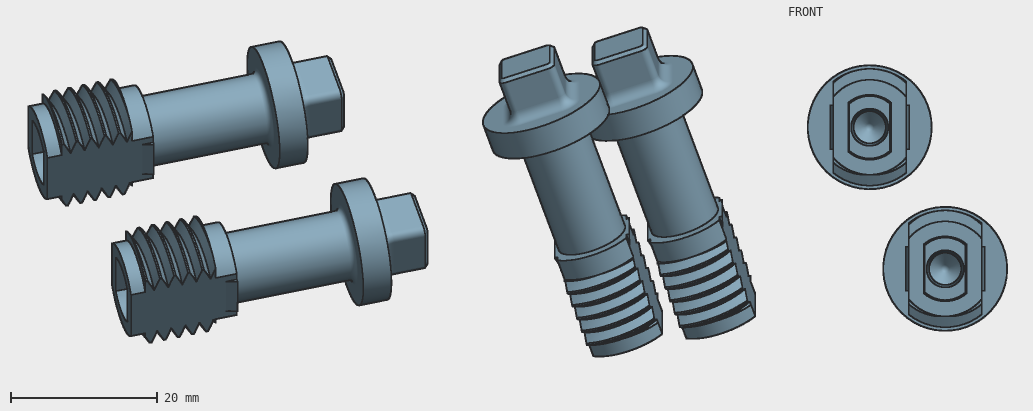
import cadquery as cq
import math


drive_width = 8.0
drive_length = 6.5
drive_corner_radius = 1.0
drive_end_chamfer = 0.5
drive_foot_radius = 1.5

flange_diameter = 17.0
flange_thickness = 4.0
shaft_diameter = 9.7
shaft_length = 17.0
shaft_fillet_radius = 0.75

block_length = 15.0
block_diameter = 13.0
block_flat_width = 10.0
thread_diameter = 16.0
thread_length = 10.0
thread_pitch = 2.0
thread_half_angle = 30.0
thread_end_collar = 2.0
groove_datum_angle = -90.0
groove_arc_angle = 120.0
groove_overshoot = 0.05

tab_length = 1.5
tab_width = 6.0
tab_height = 0.4

wall_thickness = 2.05
socket_depth = 10.0
hole_mouth_diameter = 5.1
hole_end_diameter = 4.4
hole_tip_angle = 90.0
draft_angle = 1.0

screw_offset = (10.33, 9.04, -19.38)
screw_count = 2

selection_margin = 0.1

flange_start = drive_length
shaft_start = flange_start + flange_thickness
block_start = shaft_start + shaft_length
block_end = block_start + block_length
thread_end = block_end - thread_end_collar
thread_start = thread_end - thread_length


def cylinder(diameter, start, length):
    return cq.Workplane("XY").workplane(offset=start).circle(diameter / 2).extrude(length)


def flat_slab(width, depth, start, length):
    return cq.Workplane("XY").workplane(offset=start).rect(width, depth).extrude(length)


def make_drive():
    """Square drive whose foot flares onto the flange face."""
    drive = (
        cq.Workplane("XY")
        .rect(drive_width, drive_width)
        .extrude(drive_length)
        .edges("|Z")
        .fillet(drive_corner_radius)
        .faces("<Z")
        .chamfer(drive_end_chamfer)
    )
    drive = drive.union(cylinder(flange_diameter, flange_start, flange_thickness))
    foot_zone = cq.selectors.BoxSelector(
        (-drive_width, -drive_width, flange_start - selection_margin),
        (drive_width, drive_width, flange_start + selection_margin),
    )
    rim_centre_zone = cq.selectors.BoxSelector(
        (-selection_margin, -selection_margin, flange_start - selection_margin),
        (selection_margin, selection_margin, flange_start + selection_margin),
    )
    return drive.edges(foot_zone - rim_centre_zone).fillet(drive_foot_radius)


def make_shaft():
    """Round shaft that flares into the flange with a concave fillet."""
    shaft_radius = shaft_diameter / 2
    flare_radius = shaft_radius + shaft_fillet_radius
    return (
        cq.Workplane("XZ")
        .moveTo(0, shaft_start)
        .lineTo(flare_radius, shaft_start)
        .radiusArc((shaft_radius, shaft_start + shaft_fillet_radius), shaft_fillet_radius)
        .lineTo(shaft_radius, block_start)
        .lineTo(0, block_start)
        .close()
        .revolve(360, (0, 0, 0), (0, 1, 0))
    )


def make_groove_arc():
    """One stretch of the V groove between the crests, long enough to cross the block's round side."""
    root_radius = block_diameter / 2
    outer_radius = thread_diameter / 2 + groove_overshoot
    half_width = (outer_radius - root_radius) * math.tan(math.radians(thread_half_angle))
    rise = thread_pitch * groove_arc_angle / 360

    root = cq.Wire.makeHelix(thread_pitch, rise, root_radius)
    outer = cq.Wire.makeHelix(thread_pitch, rise, outer_radius)
    lower = outer.translate(cq.Vector(0, 0, -half_width))
    upper = outer.translate(cq.Vector(0, 0, half_width))

    rails = (root, lower, upper)
    sides = [cq.Face.makeRuledSurface(rails[i - 1], rails[i]) for i in range(3)]
    ends = []
    for position in (0, 1):
        corners = [rail.positionAt(position) for rail in rails]
        ends.append(cq.Face.makeFromWires(cq.Wire.makePolygon(corners, close=True)))
    return cq.Solid.makeSolid(cq.Shell.makeShell(sides + ends))


def make_thread():
    """Threaded length between the flats, with the right-hand groove cut across both round sides."""
    thread = cylinder(thread_diameter, thread_start, thread_length)
    thread = thread.intersect(flat_slab(block_flat_width, thread_diameter, thread_start, thread_length))
    groove_arc = make_groove_arc()
    turns = math.ceil(thread_length / thread_pitch)
    for side_angle in (groove_datum_angle, groove_datum_angle + 180):
        arc_start_angle = side_angle - groove_arc_angle / 2
        lead_in = thread_pitch * (arc_start_angle - groove_datum_angle) / 360
        placed_arc = groove_arc.rotate(cq.Vector(0, 0, 0), cq.Vector(0, 0, 1), arc_start_angle)
        for turn in range(-1, turns + 1):
            height = thread_start + lead_in + turn * thread_pitch
            thread = thread.cut(cq.Workplane(placed_arc.translate(cq.Vector(0, 0, height))))
    return thread


def make_block():
    """Threaded length between two plain collars, all with the same two flats."""
    collar_length = thread_start - block_start
    collars = cylinder(block_diameter, block_start, collar_length)
    collars = collars.union(cylinder(block_diameter, thread_end, thread_end_collar))
    collars = collars.intersect(flat_slab(block_flat_width, block_diameter, block_start, block_length))
    return collars.union(make_thread())


def make_tab(side):
    """Wedge on one flat, full height at the block's shaft end and fading to nothing."""
    flat = side * block_flat_width / 2
    return (
        cq.Workplane("XZ", origin=(0, tab_width / 2, 0))
        .moveTo(0, block_start)
        .lineTo(flat + side * tab_height, block_start)
        .lineTo(flat, block_start + tab_length)
        .lineTo(0, block_start + tab_length)
        .close()
        .extrude(tab_width)
    )


def make_socket():
    """Two-flatted socket with an even wall around its mouth, drafted towards its floor."""
    half_flat = block_flat_width / 2 - wall_thickness
    mouth_radius = block_diameter / 2 - wall_thickness
    half_chord = math.sqrt(mouth_radius**2 - half_flat**2)
    return (
        cq.Workplane("XY", origin=(0, 0, block_end))
        .moveTo(half_flat, -half_chord)
        .lineTo(half_flat, half_chord)
        .threePointArc((0, mouth_radius), (-half_flat, half_chord))
        .lineTo(-half_flat, -half_chord)
        .threePointArc((0, -mouth_radius), (half_flat, -half_chord))
        .close()
        .extrude(-socket_depth, taper=draft_angle)
    )


def make_hole():
    """Drafted hole in the socket floor, ending in a cone."""
    floor = block_end - socket_depth
    mouth_radius = hole_mouth_diameter / 2
    end_radius = hole_end_diameter / 2
    taper_length = (mouth_radius - end_radius) / math.tan(math.radians(draft_angle))
    tip_length = end_radius / math.tan(math.radians(hole_tip_angle / 2))
    return (
        cq.Workplane("XZ")
        .moveTo(0, floor)
        .lineTo(mouth_radius, floor)
        .lineTo(end_radius, floor - taper_length)
        .lineTo(0, floor - taper_length - tip_length)
        .close()
        .revolve(360, (0, 0, 0), (0, 1, 0))
    )


def make_screw():
    """Complete screw, laid down with its drive end towards +Y."""
    screw = make_drive().union(make_shaft()).union(make_block())
    for side in (-1, 1):
        screw = screw.union(make_tab(side))
    screw = screw.cut(make_socket()).cut(make_hole())
    return screw.rotate((0, 0, 0), (1, 0, 0), 90)


screw = make_screw()
screws = []
for index in range(screw_count):
    shift = tuple(index * distance for distance in screw_offset)
    screws.append(screw.translate(shift).val())

result = cq.Compound.makeCompound(screws)